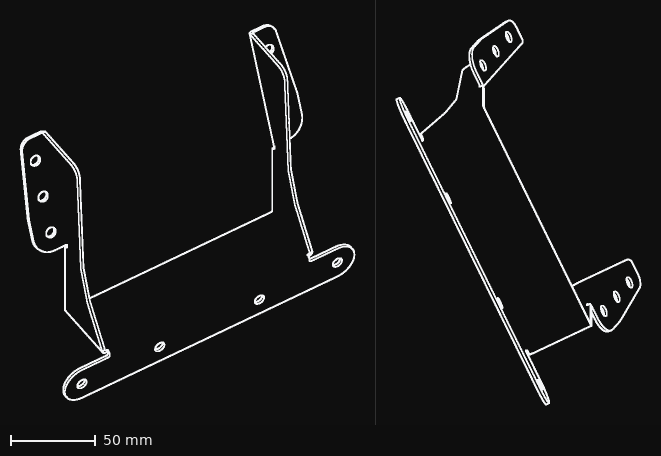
import cadquery as cq
import math

length = 204.0
depth = 69.4
height = 159.5
sheet = 2.0
bend_inner = 0.5
bend_outer = bend_inner + sheet

plate_height = 24.0
plate_radius = plate_height / 2
hole_diameter = 6.5
end_hole_y = length / 2 - plate_radius
middle_hole_y = 35.0
neck_half_width = 70.4
neck_fillet = 1.0

floor_bottom = 26.1
channel_half_width = 74.0
channel_front = 26.3
channel_back = depth - bend_outer
wall_top_x = 39.4
wall_corner_radius = 7.0
upper_kink = (43.7, 79.0)
lower_kink = (50.8, 55.9)

ear_angle = 19.7
ear_length = 78.0
ear_top_half_width = 88.7
ear_half_width = 94.5
ear_straight_length = 26.5
ear_top_radius = 7.0
ear_bottom_radius = 12.0
ear_hole_y = 82.2
ear_hole_pitch = 24.9
ear_first_hole = 15.7
ear_hole_count = 3
relief_radius = 2.2
relief_drop = 0.5

slope_sin = math.sin(math.radians(ear_angle))
slope_cos = math.cos(math.radians(ear_angle))
ear_top_z = height - bend_outer * slope_sin
ear_bottom = (ear_length * slope_sin, ear_top_z - ear_length * slope_cos)


def on_ear(along, inward):
    """XZ point at a distance up the ear and a distance in from its outer face."""
    x = ear_bottom[0] - along * slope_sin + inward * slope_cos
    z = ear_bottom[1] + along * slope_cos + inward * slope_sin
    return (x, z)


def make_channel():
    """Bent U section trimmed to the side outline of the walls."""
    wall_height = height - floor_bottom
    inner_half_width = channel_half_width - sheet
    outer = (
        cq.Workplane("XY", origin=(0, 0, floor_bottom))
        .box(depth, 2 * channel_half_width, wall_height, centered=(False, True, False))
        .edges("|X and <Z").fillet(bend_outer)
    )
    inner = (
        cq.Workplane("XY", origin=(0, 0, floor_bottom + sheet))
        .box(depth, 2 * inner_half_width, wall_height, centered=(False, True, False))
        .edges("|X and <Z").fillet(bend_inner)
    )
    outline = (
        cq.Workplane("XZ")
        .polyline([
            (channel_front, floor_bottom),
            (channel_back, floor_bottom),
            (channel_back, floor_bottom + bend_outer),
            lower_kink,
            upper_kink,
            (wall_top_x, height),
            on_ear(ear_length, bend_outer),
            on_ear(0, bend_outer),
            (channel_front, ear_bottom[1]),
        ])
        .close()
        .extrude(channel_half_width, both=True)
        .edges("|Y and >Z").edges(">X").fillet(wall_corner_radius)
    )
    relief = (
        cq.Workplane("XZ")
        .center(channel_front, ear_bottom[1] - relief_drop)
        .circle(relief_radius)
        .extrude(channel_half_width, both=True)
    )
    return outer.cut(inner).intersect(outline).cut(relief)


def make_mounting_plate():
    """Plate hung from the back edge of the floor by a bent neck."""
    plate = (
        cq.Workplane("YZ", origin=(depth - sheet, 0, plate_radius))
        .slot2D(length, plate_height)
        .extrude(sheet)
    )
    floor_top = floor_bottom + sheet
    bend_axis_x = depth - bend_outer
    bend_axis_z = floor_top - bend_outer
    diagonal = math.sqrt(0.5)
    neck = (
        cq.Workplane("XZ")
        .moveTo(depth, plate_radius)
        .lineTo(depth, bend_axis_z)
        .threePointArc(
            (bend_axis_x + bend_outer * diagonal, bend_axis_z + bend_outer * diagonal),
            (bend_axis_x, floor_top),
        )
        .lineTo(bend_axis_x, floor_bottom)
        .threePointArc(
            (bend_axis_x + bend_inner * diagonal, bend_axis_z + bend_inner * diagonal),
            (depth - sheet, bend_axis_z),
        )
        .lineTo(depth - sheet, plate_radius)
        .close()
        .extrude(neck_half_width, both=True)
    )
    body = plate.union(neck)
    for side in (-1, 1):
        neck_y = side * neck_half_width
        corner = (
            cq.Workplane("YZ", origin=(depth - sheet, 0, 0))
            .moveTo(neck_y, plate_height)
            .lineTo(neck_y + side * neck_fillet, plate_height)
            .radiusArc((neck_y, plate_height + neck_fillet), side * neck_fillet)
            .close()
            .extrude(sheet)
        )
        body = body.union(corner)
    hole_places = [(side * y, 0) for side in (-1, 1) for y in (middle_hole_y, end_hole_y)]
    holes = (
        cq.Workplane("YZ", origin=(depth - sheet, 0, plate_radius))
        .pushPoints(hole_places)
        .circle(hole_diameter / 2)
        .extrude(sheet)
    )
    return body.cut(holes)


def make_ear():
    """Ear on the +Y wall, including its bend into the wall."""
    ear_plane = cq.Plane(
        origin=(0, 0, ear_top_z),
        xDir=(0, 1, 0),
        normal=(slope_cos, 0, slope_sin),
    )
    section_plane = cq.Plane(
        origin=(0, 0, ear_top_z),
        xDir=(0, 1, 0),
        normal=(slope_sin, 0, -slope_cos),
    )
    inner_y = channel_half_width - sheet
    bend_y = inner_y + bend_outer
    diagonal = math.sqrt(0.5)
    bent_strip = (
        cq.Workplane(section_plane)
        .moveTo(ear_half_width, 0)
        .lineTo(bend_y, 0)
        .threePointArc(
            (bend_y - bend_outer * diagonal, bend_outer * (1 - diagonal)),
            (inner_y, bend_outer),
        )
        .lineTo(channel_half_width, bend_outer)
        .threePointArc(
            (bend_y - bend_inner * diagonal, bend_outer - bend_inner * diagonal),
            (bend_y, sheet),
        )
        .lineTo(ear_half_width, sheet)
        .close()
        .extrude(ear_length)
    )
    outline = (
        cq.Workplane(ear_plane)
        .polyline([
            (inner_y, 0),
            (ear_top_half_width, 0),
            (ear_half_width, ear_straight_length - ear_length),
            (ear_half_width, -ear_length),
            (inner_y, -ear_length),
        ])
        .close()
        .extrude(bend_outer)
    )
    across = cq.Vector(slope_cos, 0, slope_sin)
    tips = outline.edges(cq.selectors.ParallelDirSelector(across))
    outline = outline.newObject(tips.edges(">Z").edges(">Y").vals()).fillet(ear_top_radius)
    tips = outline.edges(cq.selectors.ParallelDirSelector(across))
    outline = outline.newObject(tips.edges("<Z").edges(">Y").vals()).fillet(ear_bottom_radius)
    holes = (
        cq.Workplane(ear_plane)
        .pushPoints([(ear_hole_y, -ear_first_hole - i * ear_hole_pitch) for i in range(ear_hole_count)])
        .circle(hole_diameter / 2)
        .extrude(bend_outer)
    )
    return bent_strip.intersect(outline).cut(holes)


ear = make_ear()
result = (
    make_channel()
    .union(make_mounting_plate())
    .union(ear)
    .union(ear.mirror("XZ"))
)